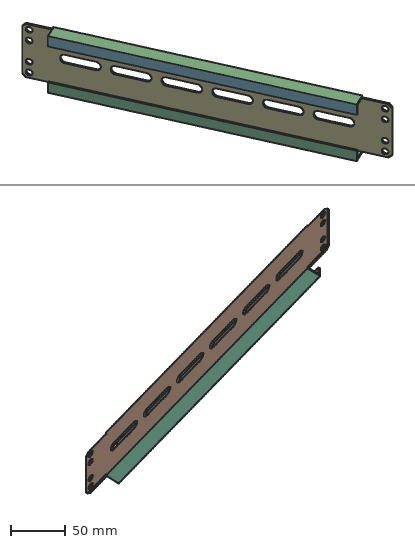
import cadquery as cq

plate_length = 364.0
channel_depth = 15.0
channel_height = 66.0
sheet = 2.0

channel_length = 304.0
lip_height = 12.0
plate_height = channel_height - 2 * sheet
corner_chamfer = 3.5

slot_count = 6
slot_pitch = 50.0
slot_length = 40.0
slot_width = 10.0

hole_diameter = 6.5
hole_end_distance = 7.0
hole_pitch = 12.5
hole_heights = [-2 * hole_pitch, -hole_pitch, hole_pitch, 2 * hole_pitch]

back_y = channel_depth / 2
front_y = -channel_depth / 2


def make_plate():
    """Flat back plate with chamfered corners."""
    return (
        cq.Workplane("XY")
        .box(plate_length, sheet, plate_height)
        .edges("|Y")
        .chamfer(corner_chamfer)
        .translate((0, back_y - sheet / 2, 0))
    )


def make_flange(side):
    """Flange with an inward lip; side is +1 for the top, -1 for the bottom."""
    outer_z = side * channel_height / 2
    inner_z = outer_z - side * sheet
    lip_z = outer_z - side * lip_height
    lip_back_y = front_y + sheet
    web_y = back_y - sheet
    return (
        cq.Workplane("YZ")
        .moveTo(back_y, outer_z)
        .lineTo(front_y, outer_z)
        .lineTo(front_y, lip_z)
        .lineTo(lip_back_y, lip_z)
        .lineTo(lip_back_y, inner_z)
        .lineTo(web_y, inner_z)
        .lineTo(web_y, lip_z)
        .lineTo(back_y, lip_z)
        .close()
        .extrude(channel_length / 2, both=True)
    )


def make_slots():
    """Cutters for the row of slots."""
    return (
        cq.Workplane("XZ")
        .rarray(slot_pitch, 3.5, slot_count, 1)
        .slot2D(slot_length, slot_width)
        .extrude(channel_depth, both=True)
    )


def make_holes():
    """Cutters for the mounting holes."""
    hole_x = plate_length / 2 - hole_end_distance
    centers = [(x, z) for x in (-hole_x, hole_x) for z in hole_heights]
    return (
        cq.Workplane("XZ")
        .pushPoints(centers)
        .circle(hole_diameter / 2)
        .extrude(channel_depth, both=True)
    )


channel = make_plate()
for flange_side in (1, -1):
    channel = channel.union(make_flange(flange_side))

result = channel.cut(make_slots()).cut(make_holes()).clean()